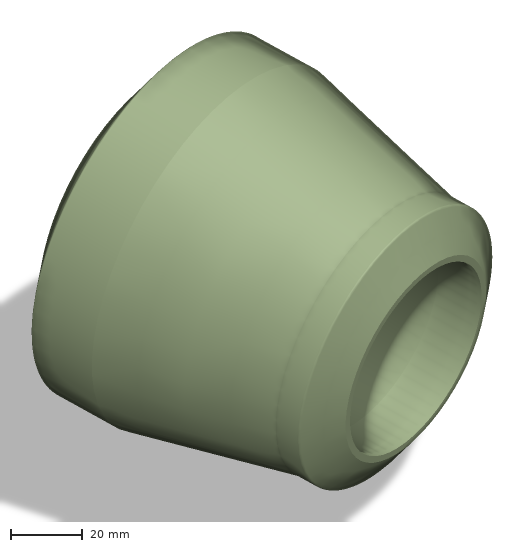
import cadquery as cq
import math

length = 100.0
large_diameter = 114.3
small_diameter = 88.9
large_bore = 79.3
small_bore = 60.5
root_face = 2.1
bevel_angle = math.radians(30)

bevel_rounding = 0.9

outer_cone_start = 30.1
bore_cone_start = 17.1
cone_end = 84.8

large_radius = large_diameter / 2
small_radius = small_diameter / 2
large_bore_radius = large_bore / 2
small_bore_radius = small_bore / 2
large_face_radius = large_bore_radius + root_face
small_face_radius = small_bore_radius + root_face
large_bevel_depth = (large_radius - large_face_radius) * math.tan(bevel_angle)
small_bevel_depth = (small_radius - small_face_radius) * math.tan(bevel_angle)

wall_section = (
    cq.Workplane("XY")
    .moveTo(0, large_face_radius)
    .lineTo(large_bevel_depth, large_radius)
    .lineTo(outer_cone_start, large_radius)
    .lineTo(cone_end, small_radius)
    .lineTo(length - small_bevel_depth, small_radius)
    .lineTo(length, small_face_radius)
    .lineTo(length, small_bore_radius)
    .lineTo(cone_end, small_bore_radius)
    .lineTo(bore_cone_start, large_bore_radius)
    .lineTo(0, large_bore_radius)
    .close()
)

reducer = wall_section.revolve(360, (0, 0, 0), (1, 0, 0))


def round_bevel_corner(body, corner_x, corner_radius):
    """Round the circular edge between a bevel and the outside cylinder."""
    margin = 0.1
    corner_box = cq.selectors.BoxSelector(
        (corner_x - margin, -corner_radius - margin, -corner_radius - margin),
        (corner_x + margin, corner_radius + margin, corner_radius + margin),
        boundingbox=True,
    )
    return body.edges("%CIRCLE").edges(corner_box).fillet(bevel_rounding)


reducer = round_bevel_corner(reducer, large_bevel_depth, large_radius)
result = round_bevel_corner(reducer, length - small_bevel_depth, small_radius)